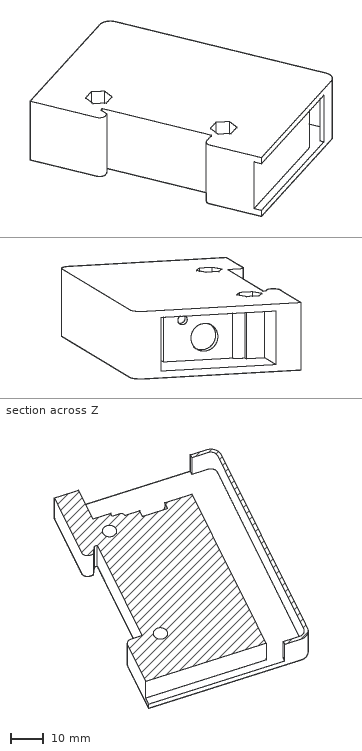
import cadquery as cq
import math

length = 78.0
depth = 53.5
height = 21.0
corner_radius = 3.5

wall = 1.3
floor = 2.2
inner_radius = corner_radius - wall

slot_left = 21.8
slot_right = 58.65
slot_depth = 5.45
hook_tip = 24.5
hook_root_y = 4.6
hook_tip_y = 3.1
foot_radius = 1.95

core_left = 14.1
core_right = 75.5
core_top = 39.6
window_bottom = 8.0
window_top = 44.6

lower_step_y = 13.9
upper_step_y = 17.55
step = 1.2
step_radius = 1.1

screw_xs = (18.0, 60.05)
screw_y = 11.0
screw_diameter = 4.2
nut_flats = 7.0
nut_depth = 6.25

core_holes = ((33.5, 14.9, 3.0), (26.5, 9.1, 8.6))
core_hole_depth = 2.35


def block(x0, x1, y0, y1):
    """Box between two opposite plan corners, reaching from the floor to the roof."""
    size_z = height - 2 * floor
    return cq.Workplane("XY").box(x1 - x0, y1 - y0, size_z, centered=False).translate((x0, y0, floor))


def housing_body():
    """Outer shape: rounded back corners, hooked foot on the left and plain foot on the right."""
    bend = foot_radius * math.sqrt(0.5)
    hook_center_x = hook_tip - foot_radius
    foot_center_x = slot_right + foot_radius
    return (
        cq.Workplane("XY")
        .lineTo(hook_center_x, 0)
        .threePointArc((hook_center_x + bend, foot_radius - bend), (hook_tip, foot_radius))
        .lineTo(hook_tip, hook_tip_y)
        .lineTo(slot_left, hook_root_y)
        .lineTo(slot_left, slot_depth)
        .lineTo(slot_right, slot_depth)
        .lineTo(slot_right, foot_radius)
        .threePointArc((foot_center_x - bend, foot_radius - bend), (foot_center_x, 0))
        .lineTo(length, 0)
        .lineTo(length, depth)
        .lineTo(0, depth)
        .close()
        .extrude(height)
        .edges("|Z and >Y")
        .fillet(corner_radius)
    )


def inner_space():
    """Passage along the back, bay behind the left window and open recess on the right."""
    passage = block(wall, length - wall, core_top, depth - wall)
    passage = passage.edges("|Z and >Y").fillet(inner_radius)
    left_bay = block(wall, core_left, window_bottom, core_top)
    left_window = block(0, wall, window_bottom, window_top)
    right_recess = block(core_right, length, 0, core_top)
    right_window = block(length - wall, length, core_top, window_top)
    return passage.union(left_bay).union(left_window).union(right_recess).union(right_window)


def core_steps():
    """Two ledges standing out from the core's left face, the upper one with a rounded edge."""
    upper = block(core_left - step, core_left, window_bottom, upper_step_y)
    upper = upper.edges("|Z and <X and >Y").fillet(step_radius)
    lower = block(core_left - 2 * step, core_left, window_bottom, lower_step_y)
    return upper.union(lower)


def screw_cutter(x):
    """Through hole with a hexagonal nut pocket sunk from the top, two corners along Y."""
    nut_corners = nut_flats / math.cos(math.pi / 6)
    hole = cq.Workplane("XY").circle(screw_diameter / 2).extrude(height)
    nut = cq.Workplane("XY").polygon(6, nut_corners).extrude(nut_depth)
    nut = nut.rotate((0, 0, 0), (0, 0, 1), 90).translate((0, 0, height - nut_depth))
    return hole.union(nut).translate((x, screw_y, 0))


def core_hole_cutter(y, z, diameter):
    """Blind hole running along X into the core's left face."""
    return cq.Workplane("YZ", origin=(core_left, y, z)).circle(diameter / 2).extrude(core_hole_depth)


result = housing_body().cut(inner_space()).union(core_steps())
for screw_x in screw_xs:
    result = result.cut(screw_cutter(screw_x))
for hole_y, hole_z, hole_diameter in core_holes:
    result = result.cut(core_hole_cutter(hole_y, hole_z, hole_diameter))